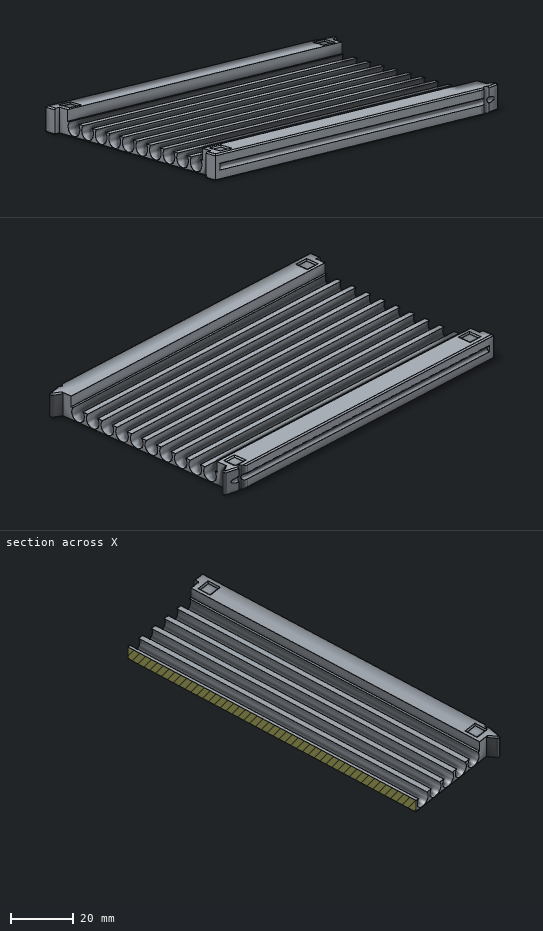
import cadquery as cq
import math

WIDTH = 80.0
HEIGHT = 9.0
OVERALL_LENGTH = 125.22
HALF_WIDTH = WIDTH / 2
EDGE_CHAMFER = 0.5

FOOT_WIDTH = 4.3
FOOT_LENGTH = 2.0
BODY_LENGTH = 120.0
BODY_REAR = FOOT_LENGTH + BODY_LENGTH

CATCH_ROOT_X = 35.4
CATCH_TIP_INNER_X = 37.3
CATCH_TIP_OUTER_X = 38.4
CATCH_LIP_X = 39.6
CATCH_LIP_Y = 120.0
CATCH_TIP_RADIUS = 0.6

NOTCH_FLOOR_Y = 118.3
NOTCH_CORNER_RADIUS = 2.2
NOTCH_CORNER_Y = 116.5

CHANNEL_COUNT = 10
CHANNEL_PITCH = 6.4
CHANNEL_RADIUS = 2.75
CHANNEL_FLOOR_Z = 0.65
RIB_TOP_Z = 5.1
BED_WIDTH = 63.6

GROOVE_RADIUS = 1.1
GROOVE_START_Y = 2.0

RECESS_SIZE = 5.0
RECESS_DEPTH = 0.5
RECESS_EDGE_OFFSET = 4.5
RECESS_X = HALF_WIDTH - RECESS_EDGE_OFFSET
RECESS_FRONT_Y = FOOT_LENGTH + RECESS_EDGE_OFFSET
RECESS_REAR_Y = BODY_REAR - RECESS_EDGE_OFFSET

SIDES = (-1, 1)


def both_sides(right_half):
    """Join a shape on the +X side with its mirror image on the -X side."""
    return right_half.union(right_half.mirror("YZ"))


def make_plate():
    """Plate with feet and catches, chamfered round its underside and its upper outer edges."""
    slope = (CATCH_LIP_X - CATCH_TIP_OUTER_X) / (OVERALL_LENGTH - CATCH_LIP_Y)
    side_end_y = CATCH_LIP_Y - (HALF_WIDTH - CATCH_LIP_X) / slope
    foot_x = HALF_WIDTH - FOOT_WIDTH
    right_outline = [
        (foot_x, FOOT_LENGTH),
        (foot_x, 0),
        (HALF_WIDTH, 0),
        (HALF_WIDTH, side_end_y),
        (CATCH_TIP_OUTER_X, OVERALL_LENGTH),
        (CATCH_TIP_INNER_X, OVERALL_LENGTH),
        (CATCH_ROOT_X, BODY_REAR),
    ]
    left_outline = [(-x, y) for x, y in reversed(right_outline)]
    plate = cq.Workplane("XY").polyline(right_outline + left_outline).close().extrude(HEIGHT)

    tip_edges = cq.selectors.BoxSelector(
        (-HALF_WIDTH, OVERALL_LENGTH - EDGE_CHAMFER, 0),
        (HALF_WIDTH, OVERALL_LENGTH + EDGE_CHAMFER, HEIGHT),
    )
    plate = plate.edges("|Z").edges(tip_edges).fillet(CATCH_TIP_RADIUS)
    plate = plate.faces("<Z").chamfer(EDGE_CHAMFER)

    front_recess = cq.selectors.BoxSelector(
        (-foot_x - EDGE_CHAMFER, EDGE_CHAMFER, 0),
        (foot_x + EDGE_CHAMFER, FOOT_LENGTH + EDGE_CHAMFER, 2 * HEIGHT),
    )
    rear_edge = cq.selectors.BoxSelector(
        (-CATCH_ROOT_X, BODY_REAR - EDGE_CHAMFER, 0),
        (CATCH_ROOT_X, BODY_REAR + EDGE_CHAMFER, 2 * HEIGHT),
    )
    upper_edges = cq.selectors.DirectionMinMaxSelector(cq.Vector(0, 0, 1))
    return plate.edges(upper_edges - front_recess - rear_edge).chamfer(EDGE_CHAMFER)


def make_notches():
    """Cutters for the catch notches: a hollow below the lip, then a rounded body corner."""
    corner_center_x = HALF_WIDTH - NOTCH_CORNER_RADIUS
    corner_rise = NOTCH_FLOOR_Y - NOTCH_CORNER_Y
    floor_x = corner_center_x + math.sqrt(NOTCH_CORNER_RADIUS**2 - corner_rise**2)
    corner_mid_angle = math.asin(corner_rise / NOTCH_CORNER_RADIUS) / 2
    corner_mid = (
        corner_center_x + NOTCH_CORNER_RADIUS * math.cos(corner_mid_angle),
        NOTCH_CORNER_Y + NOTCH_CORNER_RADIUS * math.sin(corner_mid_angle),
    )
    clear_x = HALF_WIDTH + EDGE_CHAMFER
    right = (
        cq.Workplane("XY")
        .moveTo(CATCH_LIP_X, CATCH_LIP_Y)
        .lineTo(clear_x, CATCH_LIP_Y)
        .lineTo(clear_x, NOTCH_CORNER_Y)
        .lineTo(HALF_WIDTH, NOTCH_CORNER_Y)
        .threePointArc(corner_mid, (floor_x, NOTCH_FLOOR_Y))
        .tangentArcPoint((CATCH_LIP_X, CATCH_LIP_Y), relative=False)
        .close()
        .extrude(HEIGHT)
    )
    return both_sides(right)


def make_channels():
    """Cutter that opens the bed between the rails and hollows the channels."""
    cutter = (
        cq.Workplane("XY", origin=(0, 0, RIB_TOP_Z))
        .rect(BED_WIDTH, 2 * OVERALL_LENGTH)
        .extrude(HEIGHT)
    )
    axis_z = CHANNEL_FLOOR_Z + CHANNEL_RADIUS
    half_opening = math.sqrt(CHANNEL_RADIUS**2 - (RIB_TOP_Z - axis_z) ** 2)
    first_x = -CHANNEL_PITCH * (CHANNEL_COUNT - 1) / 2
    for i in range(CHANNEL_COUNT):
        x = first_x + i * CHANNEL_PITCH
        channel = (
            cq.Workplane("XZ")
            .moveTo(x - half_opening, RIB_TOP_Z)
            .threePointArc((x, CHANNEL_FLOOR_Z), (x + half_opening, RIB_TOP_Z))
            .close()
            .extrude(-OVERALL_LENGTH)
        )
        cutter = cutter.union(channel)
    return cutter


def make_side_grooves():
    """Half-round grooves at mid height that start behind the feet and run out at the catches."""
    right = (
        cq.Workplane("XZ", origin=(HALF_WIDTH, GROOVE_START_Y, HEIGHT / 2))
        .circle(GROOVE_RADIUS)
        .extrude(-OVERALL_LENGTH)
    )
    return both_sides(right)


def make_recesses():
    """Square recesses with sloping walls: two at the front and one at the rear of the -X rail."""
    centers = [(side * RECESS_X, RECESS_FRONT_Y) for side in SIDES]
    centers.append((-RECESS_X, RECESS_REAR_Y))
    floor_size = RECESS_SIZE - 2 * RECESS_DEPTH
    recess = (
        cq.Workplane("XY", origin=(0, 0, HEIGHT))
        .rect(RECESS_SIZE, RECESS_SIZE)
        .workplane(offset=-RECESS_DEPTH)
        .rect(floor_size, floor_size)
        .loft(ruled=True)
    )
    recesses = cq.Workplane("XY")
    for x, y in centers:
        recesses = recesses.add(recess.translate((x, y, 0)))
    return recesses.combine()


result = (
    make_plate()
    .cut(make_notches())
    .cut(make_channels())
    .cut(make_side_grooves())
    .cut(make_recesses())
)